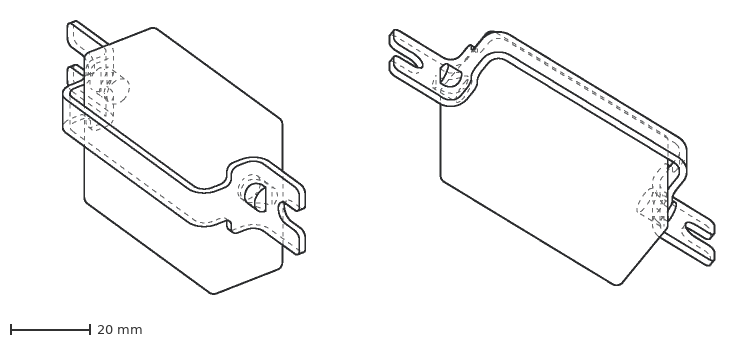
import cadquery as cq

block_width = 55.8
block_depth = 23.0
block_height = 45.0
edge_radius = 2.0

overall_width = 99.0
overall_depth = 29.0
thickness = 1.9
bend_inner_radius = 3.2
bend_outer_radius = bend_inner_radius + thickness
leg_outer_x = 31.0
leg_inner_x = leg_outer_x - thickness
ear_back_y = -9.6
ear_front_y = ear_back_y - thickness
strap_z = 6.5
ear_height = 20.0
band_height = 10.0
shoulder_y = -19.2
corner_radius = 2.0

slot_width = 6.0
slot_depth = 9.0

pin_diameter = 7.0
pin_end_x = 35.1


def make_block():
    """Rectangular block with every edge rounded."""
    block = cq.Workplane("XY").box(block_width, block_depth, block_height)
    return block.edges().fillet(edge_radius).translate((0, -block_depth / 2, 0))


def bend_solid(profile, corners):
    """Extrude a profile to the ear height and round the listed vertical corners."""
    solid = profile.extrude(ear_height / 2, both=True)
    for x, y, radius in corners:
        for corner_x in (-x, x):
            edge = cq.selectors.NearestToPointSelector((corner_x, y, 0))
            solid = solid.edges("|Z").edges(edge).fillet(radius)
    return solid


def make_bent_strip():
    """Full-height strip bent into a U with an outward ear on each side."""
    band_front_y = -overall_depth
    band_back_y = band_front_y + thickness
    end_x = overall_width / 2
    half_outline = [
        (end_x, ear_back_y),
        (end_x, ear_front_y),
        (leg_outer_x, ear_front_y),
        (leg_outer_x, band_front_y),
    ]
    inner_outline = [(leg_inner_x, band_back_y), (leg_inner_x, ear_back_y)]
    mirrored_outer = [(-x, y) for x, y in reversed(half_outline)]
    mirrored_inner = [(-x, y) for x, y in reversed(inner_outline)]
    outline = half_outline + mirrored_outer + mirrored_inner + inner_outline
    corners = [
        (leg_outer_x, ear_front_y, bend_inner_radius),
        (leg_inner_x, ear_back_y, bend_outer_radius),
        (leg_outer_x, band_front_y, bend_outer_radius),
        (leg_inner_x, band_back_y, bend_inner_radius),
    ]
    return bend_solid(cq.Workplane("XY").polyline(outline).close(), corners)


def make_side_envelope():
    """Tall ears narrowing to the front band through rounded shoulders."""
    half_ear = ear_height / 2
    half_band = band_height / 2
    outline = [
        (0, half_ear),
        (shoulder_y, half_ear),
        (shoulder_y, half_band),
        (-overall_depth, half_band),
        (-overall_depth, -half_band),
        (shoulder_y, -half_band),
        (shoulder_y, -half_ear),
        (0, -half_ear),
    ]
    envelope = cq.Workplane("YZ").polyline(outline).close().extrude(overall_width / 2, both=True)
    for z in (-half_ear, -half_band, half_band, half_ear):
        edge = cq.selectors.NearestToPointSelector((0, shoulder_y, z))
        envelope = envelope.edges("|X").edges(edge).fillet(corner_radius)
    return envelope


def make_slot(side):
    """Round-ended slot entering an ear from its outer end."""
    radius = slot_width / 2
    end_x = overall_width / 2
    arc_x = end_x - slot_depth + radius
    slot = (
        cq.Workplane("XZ", origin=(0, ear_back_y, 0))
        .moveTo(side * end_x, radius)
        .lineTo(side * arc_x, radius)
        .threePointArc((side * (end_x - slot_depth), 0), (side * arc_x, -radius))
        .lineTo(side * end_x, -radius)
        .close()
        .extrude(thickness)
    )
    return slot


def make_strap():
    """Bent strap with narrowed band, slotted ears and rounded ear corners."""
    strap = make_bent_strip().intersect(make_side_envelope())
    for side in (-1, 1):
        strap = strap.cut(make_slot(side))
    for end_face in ("<X", ">X"):
        strap = strap.faces(end_face).edges("|Y").fillet(corner_radius)
    return strap.translate((0, 0, strap_z))


def make_pins():
    """Coaxial pins projecting from both ends of the block, as one rod through it."""
    axis_plane = cq.Workplane("YZ", origin=(0, ear_front_y, strap_z))
    return axis_plane.circle(pin_diameter / 2).extrude(pin_end_x, both=True)


result = make_block().union(make_pins()).union(make_strap())